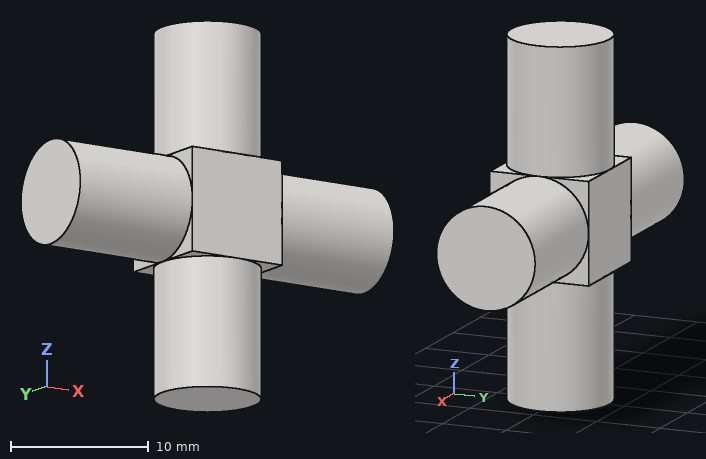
import cadquery as cq

span = 27.3
hub_side = 7.8

arm_diameter = hub_side
arm_length = (span - hub_side) / 2


def arm(face):
    """Round arm standing on the given face of the hub."""
    return hub.faces(face).workplane().circle(arm_diameter / 2).extrude(arm_length, combine=False)


hub = cq.Workplane("XY").box(hub_side, hub_side, hub_side)

result = hub
for face in ("<X", ">X", "<Z", ">Z"):
    result = result.union(arm(face))